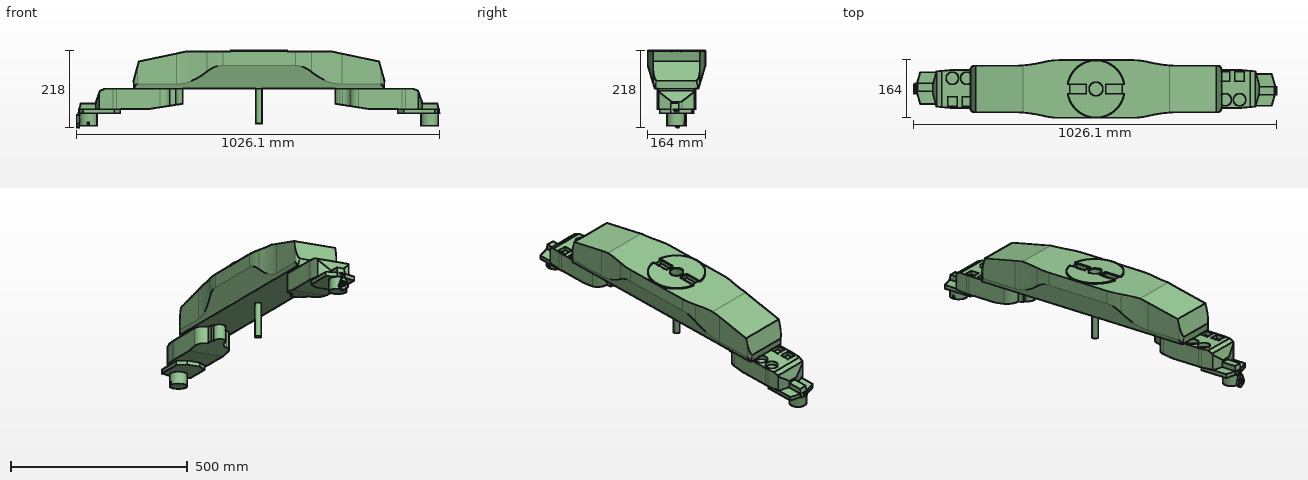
import cadquery as cq


OVERALL_HEIGHT = 218.0

BEAM_HEIGHT = 105.0
BEAM_CENTRE_HALF_WIDTH = 82.0
BEAM_END_HALF_WIDTH = 66.0
BEAM_BASE_HALF_WIDTH = 62.0
FLANK_TOP_Z = 66.0
WIDE_PART_HALF_LENGTH = 102.0
NARROW_PART_START = 234.0
BLEND_INFLECTION = 148.0
TOP_FLAT_HALF_LENGTH = 207.0
NOSE_TOP = (340.0, 77.0)
NOSE_WIDEST = (355.0, 22.0)
NOSE_BASE_X = 353.5
NOSE_CORNER_RADIUS = 11.0

DISC_DIAMETER = 163.0
DISC_THICKNESS = 3.0
DISC_CHAMFER = 1.0
BORE_DIAMETER = 39.0
BORE_DEPTH = 40.0
SLOT_WIDTH = 26.0
SLOT_INNER_X = 27.0
SLOT_OUTER_X = 74.0
SLOT_DEPTH = 12.0

POST_DIAMETER = 18.5
POST_LENGTH = 99.0

ARM_HEIGHT = 58.0
ARM_HALF_WIDTH = 54.0
ARM_TIP_X = 461.0
ARM_TIP_HALF_WIDTH = 14.0
ARM_CORNER_X = 451.0
ARM_CORNER_HALF_WIDTH = 50.0
ARM_TAPER_X = 409.0
ARM_BEND_HALF_LENGTH = 5.0
ARM_TOP_EDGE_X = 436.0
ARM_BROW = (450.0, 6.0)
ARM_BROW_FOOT_DEPTH = 37.0
ARM_SHOULDER_X = 281.0
SHOULDER_RADIUS = 29.0
ARM_NECK_X = 235.0
NECK_HALF_WIDTH = 18.0
ARM_INNER_X = 215.0
NECK_END_X = 229.0
ARM_RISE_START_X = 311.0
ARM_INNER_DEPTH = 43.0

POCKET_X = 406.0
POCKET_PITCH = 40.5
POCKET_COUNT = 2
POCKET_DEPTH = 12.0
ROUND_POCKET_DIAMETER = 35.0
ROUND_POCKET_Y = 30.5
SQUARE_POCKET_SIZE = 26.5
SQUARE_POCKET_Y = -35.0

SHOE_Y = 2.5
SHOE_THICKNESS = 12.0
SHOE_HALF_WIDTH = 45.5
SHOE_POINT_X = 510.0
SHOE_CORNER_X = 497.0
SHOE_INNER_CORNER_X = 409.0
SHOE_INNER_X = 392.0
SHOE_INNER_HALF_WIDTH = 20.0
SHOE_TOP_Z = -ARM_HEIGHT
SHOE_BOTTOM_Z = SHOE_TOP_Z - SHOE_THICKNESS
RIDGE_Y = 5.0
RIDGE_WIDTH = 23.0
RIDGE_TOP_Z = -42.0
RIDGE_TOP_X = 504.5
RIDGE_FOOT_X = 510.5
FOOT_DIAMETER = 50.0
FOOT_X = 482.5
FOOT_BOTTOM_Z = -105.0
FOOT_SIDE_HOLE_DIAMETER = 6.0
FOOT_SIDE_HOLE_DEPTH = 10.0
FOOT_SIDE_HOLE_Z = -98.0

LATCH_OUTER_X = 515.58
LATCH_THICKNESS = 7.5
LATCH_Z = -91.0
LATCH_TOP_Z = -74.0
LATCH_SHOULDER_Z = -98.0
LATCH_HALF_WIDTH = 14.0
LATCH_NECK_HALF_WIDTH = 5.0
LATCH_TIP_Z = DISC_THICKNESS + BEAM_HEIGHT - OVERALL_HEIGHT
LATCH_TIP_Y = 3.0
LATCH_TIP_HALF_WIDTH = 2.5
LATCH_STEM_DIAMETER = 8.0
LATCH_RECESS_DIAMETER = 16.0
LATCH_RECESS_DEPTH = 1.5
LATCH_STEM_END_X = 497.0


def turned(body):
    """The same body half a turn round the disc axis."""
    return body.rotate((0, 0, 0), (0, 0, 1), 180)


def slots(inner_x, outer_x, bottom_z, depth):
    """A pair of straight slots, one on each side of the disc axis."""
    return (
        cq.Workplane("XY", origin=(0, 0, bottom_z))
        .pushPoints([(side * (inner_x + outer_x) / 2, 0) for side in (-1, 1)])
        .rect(outer_x - inner_x, SLOT_WIDTH)
        .extrude(depth)
    )


def make_beam():
    blend_share = (BLEND_INFLECTION - WIDE_PART_HALF_LENGTH) / (NARROW_PART_START - WIDE_PART_HALF_LENGTH)
    blend_drop = BEAM_CENTRE_HALF_WIDTH - BEAM_END_HALF_WIDTH
    blend_half_width = BEAM_CENTRE_HALF_WIDTH - blend_share * blend_drop
    nose_x = NOSE_WIDEST[0]

    half_plan = (
        cq.Workplane("XY")
        .moveTo(0, -BEAM_CENTRE_HALF_WIDTH)
        .lineTo(WIDE_PART_HALF_LENGTH, -BEAM_CENTRE_HALF_WIDTH)
        .tangentArcPoint((BLEND_INFLECTION, -blend_half_width), relative=False)
        .tangentArcPoint((NARROW_PART_START, -BEAM_END_HALF_WIDTH), relative=False)
        .lineTo(nose_x, -BEAM_END_HALF_WIDTH)
        .lineTo(nose_x, BEAM_END_HALF_WIDTH)
        .lineTo(NARROW_PART_START, BEAM_END_HALF_WIDTH)
        .tangentArcPoint((BLEND_INFLECTION, blend_half_width), relative=False)
        .tangentArcPoint((WIDE_PART_HALF_LENGTH, BEAM_CENTRE_HALF_WIDTH), relative=False)
        .lineTo(0, BEAM_CENTRE_HALF_WIDTH)
        .close()
        .extrude(BEAM_HEIGHT)
        .edges("|Z and >X")
        .fillet(NOSE_CORNER_RADIUS)
    )
    plan = half_plan.union(turned(half_plan))

    right_side = [
        (NOSE_BASE_X, 0),
        NOSE_WIDEST,
        NOSE_TOP,
        (TOP_FLAT_HALF_LENGTH, BEAM_HEIGHT),
    ]
    left_side = [(-x, z) for x, z in reversed(right_side)]
    profile = (
        cq.Workplane("XZ")
        .polyline(right_side + left_side)
        .close()
        .extrude(BEAM_CENTRE_HALF_WIDTH, both=True)
    )

    right_flank = [
        (BEAM_BASE_HALF_WIDTH, 0),
        (BEAM_CENTRE_HALF_WIDTH, FLANK_TOP_Z),
        (BEAM_CENTRE_HALF_WIDTH, BEAM_HEIGHT),
    ]
    left_flank = [(-y, z) for y, z in reversed(right_flank)]
    section = (
        cq.Workplane("YZ")
        .polyline(right_flank + left_flank)
        .close()
        .extrude(nose_x, both=True)
    )

    bore = (
        cq.Workplane("XY", origin=(0, 0, BEAM_HEIGHT - BORE_DEPTH))
        .circle(BORE_DIAMETER / 2)
        .extrude(BORE_DEPTH)
    )
    pockets = slots(SLOT_INNER_X, SLOT_OUTER_X, BEAM_HEIGHT - SLOT_DEPTH, SLOT_DEPTH)
    return plan.intersect(profile).intersect(section).cut(bore).cut(pockets)


def make_disc():
    disc = (
        cq.Workplane("XY", origin=(0, 0, BEAM_HEIGHT))
        .circle(DISC_DIAMETER / 2)
        .extrude(DISC_THICKNESS)
        .faces(">Z")
        .chamfer(DISC_CHAMFER)
        .faces(">Z")
        .workplane()
        .hole(BORE_DIAMETER)
    )
    return disc.cut(slots(SLOT_INNER_X, DISC_DIAMETER / 2, BEAM_HEIGHT, DISC_THICKNESS))


def make_post():
    return cq.Workplane("XY").circle(POST_DIAMETER / 2).extrude(-POST_LENGTH)


def make_arm():
    """The left arm."""
    shoulder_half_width = ARM_HALF_WIDTH - SHOULDER_RADIUS
    taper_slope = (ARM_HALF_WIDTH - ARM_CORNER_HALF_WIDTH) / (ARM_CORNER_X - ARM_TAPER_X)
    bend_outer_x = ARM_TAPER_X + ARM_BEND_HALF_LENGTH
    bend_inner_x = ARM_TAPER_X - ARM_BEND_HALF_LENGTH
    bend_half_width = ARM_HALF_WIDTH - taper_slope * ARM_BEND_HALF_LENGTH
    shoulder_end_x = ARM_SHOULDER_X - SHOULDER_RADIUS
    sweep_middle = (-(ARM_SHOULDER_X + ARM_NECK_X) / 2, (ARM_HALF_WIDTH + NECK_HALF_WIDTH) / 2)
    plan = (
        cq.Workplane("XY")
        .moveTo(-ARM_TIP_X, ARM_TIP_HALF_WIDTH)
        .lineTo(-ARM_CORNER_X, ARM_CORNER_HALF_WIDTH)
        .lineTo(-bend_outer_x, bend_half_width)
        .tangentArcPoint((-bend_inner_x, ARM_HALF_WIDTH), relative=False)
        .lineTo(-ARM_SHOULDER_X, ARM_HALF_WIDTH)
        .tangentArcPoint(sweep_middle, relative=False)
        .tangentArcPoint((-ARM_NECK_X, NECK_HALF_WIDTH), relative=False)
        .lineTo(-NECK_END_X, NECK_HALF_WIDTH)
        .threePointArc((-ARM_INNER_X, 0), (-NECK_END_X, -NECK_HALF_WIDTH))
        .lineTo(-ARM_NECK_X, -NECK_HALF_WIDTH)
        .lineTo(-ARM_NECK_X, -shoulder_half_width)
        .lineTo(-shoulder_end_x, -shoulder_half_width)
        .radiusArc((-ARM_SHOULDER_X, -ARM_HALF_WIDTH), SHOULDER_RADIUS)
        .lineTo(-bend_inner_x, -ARM_HALF_WIDTH)
        .tangentArcPoint((-bend_outer_x, -bend_half_width), relative=False)
        .lineTo(-ARM_CORNER_X, -ARM_CORNER_HALF_WIDTH)
        .lineTo(-ARM_TIP_X, -ARM_TIP_HALF_WIDTH)
        .close()
        .extrude(-ARM_HEIGHT)
    )
    brow_x, brow_depth = ARM_BROW
    profile = (
        cq.Workplane("XZ")
        .moveTo(-ARM_INNER_X, 0)
        .lineTo(-ARM_TOP_EDGE_X, 0)
        .lineTo(-brow_x, -brow_depth)
        .lineTo(-ARM_TIP_X, -ARM_BROW_FOOT_DEPTH)
        .lineTo(-ARM_TIP_X, -ARM_HEIGHT)
        .lineTo(-ARM_RISE_START_X, -ARM_HEIGHT)
        .lineTo(-ARM_INNER_X, -ARM_INNER_DEPTH)
        .close()
        .extrude(ARM_HALF_WIDTH, both=True)
    )
    arm = plan.intersect(profile)

    pocket_xs = [-POCKET_X + i * POCKET_PITCH for i in range(POCKET_COUNT)]
    round_pockets = (
        cq.Workplane("XY")
        .pushPoints([(x, ROUND_POCKET_Y) for x in pocket_xs])
        .circle(ROUND_POCKET_DIAMETER / 2)
        .extrude(-POCKET_DEPTH)
    )
    square_pockets = (
        cq.Workplane("XY")
        .pushPoints([(x, SQUARE_POCKET_Y) for x in pocket_xs])
        .rect(SQUARE_POCKET_SIZE, SQUARE_POCKET_SIZE)
        .extrude(-POCKET_DEPTH)
    )
    return arm.cut(round_pockets).cut(square_pockets)


def make_shoe():
    """The left shoe: pointed plate, locating ridge in front of the arm tip and a round foot."""
    plate = (
        cq.Workplane("XY", origin=(0, SHOE_Y, SHOE_BOTTOM_Z))
        .polyline([
            (-SHOE_POINT_X, 0),
            (-SHOE_CORNER_X, SHOE_HALF_WIDTH),
            (-SHOE_INNER_CORNER_X, SHOE_HALF_WIDTH),
            (-SHOE_INNER_X, SHOE_INNER_HALF_WIDTH),
            (-SHOE_INNER_X, -SHOE_INNER_HALF_WIDTH),
            (-SHOE_INNER_CORNER_X, -SHOE_HALF_WIDTH),
            (-SHOE_CORNER_X, -SHOE_HALF_WIDTH),
        ])
        .close()
        .extrude(SHOE_THICKNESS)
    )
    ridge = (
        cq.Workplane("XZ", origin=(0, RIDGE_Y, 0))
        .polyline([
            (-ARM_TIP_X, RIDGE_TOP_Z),
            (-RIDGE_TOP_X, RIDGE_TOP_Z),
            (-RIDGE_FOOT_X, SHOE_BOTTOM_Z),
            (-ARM_TIP_X, SHOE_BOTTOM_Z),
        ])
        .close()
        .extrude(RIDGE_WIDTH / 2, both=True)
    )
    foot = (
        cq.Workplane("XY", origin=(-FOOT_X, SHOE_Y, FOOT_BOTTOM_Z))
        .circle(FOOT_DIAMETER / 2)
        .extrude(SHOE_BOTTOM_Z - FOOT_BOTTOM_Z)
    )
    foot_front_y = SHOE_Y - FOOT_DIAMETER / 2
    side_hole = (
        cq.Workplane("XZ", origin=(-FOOT_X, foot_front_y, FOOT_SIDE_HOLE_Z))
        .circle(FOOT_SIDE_HOLE_DIAMETER / 2)
        .extrude(-FOOT_SIDE_HOLE_DEPTH)
    )
    return plate.union(ridge).union(foot).cut(side_hole)


def make_latch_stem():
    stem_length = LATCH_OUTER_X - LATCH_STEM_END_X
    return (
        cq.Workplane("YZ", origin=(-LATCH_OUTER_X, SHOE_Y, LATCH_Z))
        .circle(LATCH_STEM_DIAMETER / 2)
        .extrude(stem_length)
    )


def make_latch():
    """Winged plate on a stem that plugs into the left foot, with a short tip hanging below."""
    wings = (
        cq.Workplane("YZ", origin=(-LATCH_OUTER_X, 0, 0))
        .polyline([
            (LATCH_NECK_HALF_WIDTH, LATCH_TOP_Z),
            (LATCH_HALF_WIDTH, LATCH_SHOULDER_Z),
            (LATCH_TIP_Y + LATCH_TIP_HALF_WIDTH, LATCH_TIP_Z),
            (LATCH_TIP_Y - LATCH_TIP_HALF_WIDTH, LATCH_TIP_Z),
            (-LATCH_HALF_WIDTH, LATCH_SHOULDER_Z),
            (-LATCH_NECK_HALF_WIDTH, LATCH_TOP_Z),
        ])
        .close()
        .extrude(LATCH_THICKNESS)
    )
    recess = (
        cq.Workplane("YZ", origin=(-LATCH_OUTER_X, SHOE_Y, LATCH_Z))
        .circle(LATCH_RECESS_DIAMETER / 2)
        .extrude(LATCH_RECESS_DEPTH)
    )
    return wings.cut(recess).union(make_latch_stem())


left_arm = make_arm()
right_arm = turned(left_arm)
plain_shoe = make_shoe()
left_shoe = plain_shoe.cut(make_latch_stem())
right_shoe = turned(plain_shoe)

result = cq.Compound.makeCompound([
    make_beam().val(),
    make_disc().val(),
    make_post().val(),
    left_arm.val(),
    right_arm.val(),
    left_shoe.val(),
    right_shoe.val(),
    make_latch().val(),
])